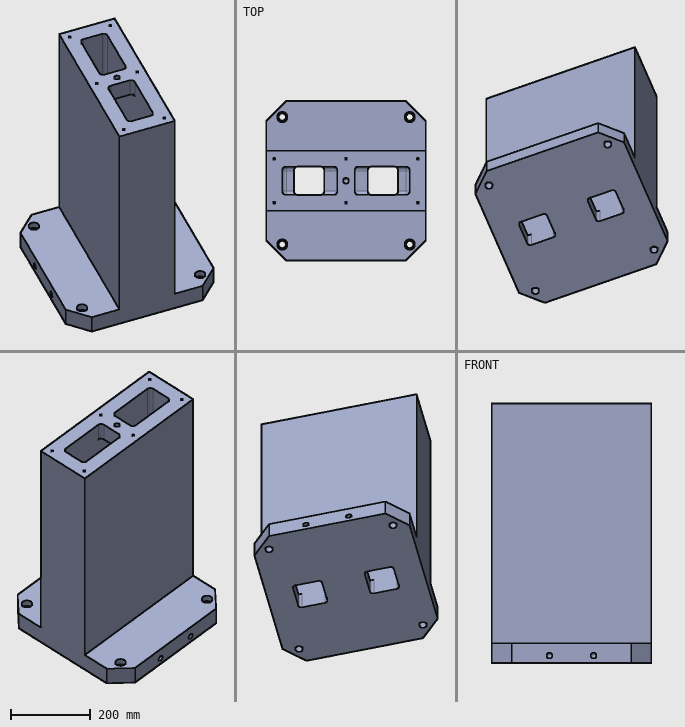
import cadquery as cq
import math

side = 400.0
height = 650
overlap = 3.0

plate_thickness = 50.0
corner_cut = 50.0

column_depth = 150.0
chamber_length = 320.0
chamber_width = 70.0
chamber_floor = plate_thickness
chamber_radius = 10.0
bridge_length = 43.0
bridge_thickness = 50.0

window_length = 75.0
window_radius = 8.0
window_offset = 92.0

bolt_margin = 40.0
bolt_spacing = side - 2 * bolt_margin
bolt_diameter = 18.0
counterbore_diameter = 26
counterbore_depth = 18.0

drill_diameter = 14.0
drill_depth = 30.0
drill_point_angle = 118
edge_hole_spacing = 110.5
edge_hole_height = 19.0

pin_columns = 3
pin_rows = 2
pin_diameter = 5.0
pin_depth = 13
pin_spacing_x = 360.0
pin_spacing_y = 110.0


def make_body():
    """Square plate with cut corners carrying a full-length column."""
    plate = cq.Workplane("XY").rect(side, side).extrude(plate_thickness)
    plate = plate.edges("|Z").chamfer(corner_cut)
    column = cq.Workplane("XY").rect(side, column_depth).extrude(height)
    return plate.union(column)


def make_chamber():
    """Rounded chamber with two mouths separated by a bridge at the top."""
    chamber_height = height - bridge_thickness - chamber_floor
    chamber = (
        cq.Workplane("XY", origin=(0, 0, chamber_floor))
        .rect(chamber_length, chamber_width)
        .extrude(chamber_height)
        .edges("|Z or <Z")
        .fillet(chamber_radius)
    )
    mouth_length = (chamber_length - bridge_length) / 2
    mouth_offset = (chamber_length + bridge_length) / 4
    mouths = (
        cq.Workplane("XY", origin=(0, 0, height - bridge_thickness - overlap))
        .pushPoints([(-mouth_offset, 0), (mouth_offset, 0)])
        .rect(mouth_length, chamber_width)
        .extrude(bridge_thickness + 2 * overlap)
        .edges("|Z")
        .fillet(chamber_radius)
    )
    return chamber.union(mouths)


def make_windows():
    """Openings from the chamber floor through the underside."""
    return (
        cq.Workplane("XY", origin=(0, 0, -overlap))
        .pushPoints([(-window_offset, 0), (window_offset, 0)])
        .rect(window_length, chamber_width)
        .extrude(chamber_floor + chamber_radius + overlap)
        .edges("|Z")
        .fillet(window_radius)
    )


def make_drilling(start, direction):
    """Cylinder with a pointed end, running from start along direction."""
    radius = drill_diameter / 2
    tip_depth = radius / math.tan(math.radians(drill_point_angle / 2))
    axis = cq.Vector(*direction)
    origin = cq.Vector(*start)
    shaft = cq.Solid.makeCylinder(radius, drill_depth, origin, axis)
    tip = cq.Solid.makeCone(radius, 0, tip_depth, origin + axis * drill_depth, axis)
    return cq.Workplane(shaft).union(cq.Workplane(tip))


result = make_body().cut(make_chamber()).cut(make_windows())

result = (
    result.copyWorkplane(cq.Workplane("XY", origin=(0, 0, plate_thickness)))
    .rarray(bolt_spacing, bolt_spacing, 2, 2)
    .cboreHole(bolt_diameter, counterbore_diameter, counterbore_depth)
)

result = (
    result.copyWorkplane(cq.Workplane("XY", origin=(0, 0, height)))
    .rarray(pin_spacing_x / (pin_columns - 1), pin_spacing_y, pin_columns, pin_rows)
    .hole(pin_diameter, pin_depth)
)

result = result.cut(make_drilling((0, 0, height), (0, 0, -1)))
for edge_hole_x in (-edge_hole_spacing / 2, edge_hole_spacing / 2):
    edge_hole_start = (edge_hole_x, -side / 2, edge_hole_height)
    result = result.cut(make_drilling(edge_hole_start, (0, 1, 0)))